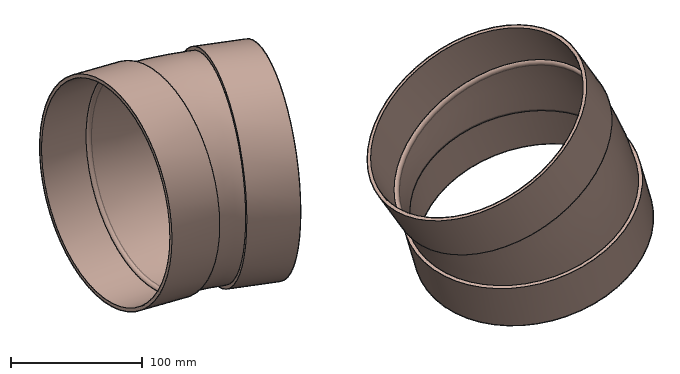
import cadquery as cq
import math

pipe_diameter = 180.0
wall = 3.0
socket_length = 43.0
bend_angle = 15.0
bend_radius = pipe_diameter

pipe_outer_radius = pipe_diameter / 2
pipe_bore_radius = pipe_outer_radius - wall
socket_bore_radius = pipe_outer_radius
socket_outer_radius = socket_bore_radius + wall
lip_radius = wall
socket_depth = socket_length - lip_radius


def make_socket():
    """Socket along +Y with its mouth at Y = 0 and a rounded stop lip at the bottom of its bore."""
    lip_reach = lip_radius * math.sqrt(0.5)
    lip_middle = (socket_bore_radius - lip_reach, socket_length - lip_reach)
    profile = (
        cq.Workplane("XY")
        .moveTo(socket_bore_radius, 0)
        .lineTo(socket_outer_radius, 0)
        .lineTo(socket_outer_radius, socket_length)
        .lineTo(pipe_bore_radius, socket_length)
        .threePointArc(lip_middle, (socket_bore_radius, socket_depth))
        .close()
    )
    return profile.revolve(360, (0, 0, 0), (0, 1, 0))


def make_bend():
    """Curved pipe that starts at the bottom of the inlet socket."""
    section = (
        cq.Workplane("XZ", origin=(0, socket_length, 0))
        .circle(pipe_outer_radius)
        .circle(pipe_bore_radius)
    )
    return section.revolve(bend_angle, (bend_radius, 0, 0), (bend_radius, -1, 0))


def make_outlet_socket(inlet_socket):
    """Copy of the inlet socket, reversed and swung around the bend centre."""
    reversed_socket = inlet_socket.mirror("XZ", (0, socket_length, 0))
    bend_centre = (bend_radius, socket_length, 0)
    point_below_centre = (bend_radius, socket_length, -1)
    return reversed_socket.rotate(bend_centre, point_below_centre, bend_angle)


inlet_socket = make_socket()
outlet_socket = make_outlet_socket(inlet_socket)
result = inlet_socket.union(make_bend()).union(outlet_socket)